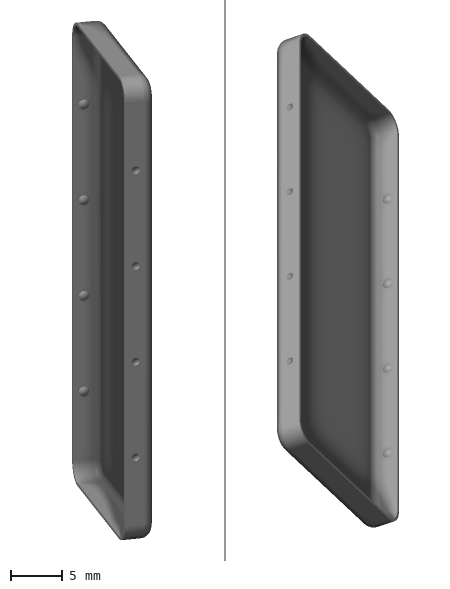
import cadquery as cq
import math

length = 48.3
width = 18.8
depth = 3.0
wall = 0.3
corner_radius = 2.0
floor_radius = 1.0

dimple_count = 4
dimple_pitch = 10.0
dent_radius = 0.4
dimple_height = 0.2
dimple_rim_distance = 1.1

dimple_y = dimple_rim_distance - depth / 2
dent_sphere_radius = (dent_radius**2 + dimple_height**2) / (2 * dimple_height)
bump_sphere_radius = dent_sphere_radius + wall


def rounded_block(inset):
    """Block with rounded corners and floor edge, inset from the outer skin but not at the rim."""
    block = cq.Workplane("XY").box(width - 2 * inset, depth - inset, length - 2 * inset)
    block = block.translate((0, -inset / 2, 0))
    block = block.edges("|Y").fillet(corner_radius - inset)
    return block.faces(">Y").edges().fillet(floor_radius - inset)


def dimple_cap(sphere_radius, side, face_x, z):
    """Spherical cap standing on the plane X = face_x and bulging toward the tray's middle."""
    tip = -side * dimple_height
    opening_angle = math.acos(1 - dimple_height / sphere_radius)
    cap_radius = sphere_radius * math.sin(opening_angle)
    half_angle = opening_angle / 2
    mid_x = tip + side * sphere_radius * (1 - math.cos(half_angle))
    mid_radius = sphere_radius * math.sin(half_angle)
    profile = (
        cq.Workplane("XY")
        .moveTo(0, 0)
        .lineTo(0, cap_radius)
        .threePointArc((mid_x, mid_radius), (tip, 0))
        .close()
    )
    cap = profile.revolve(360, (0, 0, 0), (1, 0, 0))
    return cap.translate((face_x, dimple_y, z))


def add_dimples(body):
    """Press the rows of dimples: a bump inside each wall and a matching dent outside."""
    for side in (-1, 1):
        outer_x = side * width / 2
        inner_x = outer_x - side * wall
        for index in range(dimple_count):
            z = (index - (dimple_count - 1) / 2) * dimple_pitch
            body = body.union(dimple_cap(bump_sphere_radius, side, inner_x, z))
            body = body.cut(dimple_cap(dent_sphere_radius, side, outer_x, z))
    return body


tray = rounded_block(0).cut(rounded_block(wall))
result = add_dimples(tray)